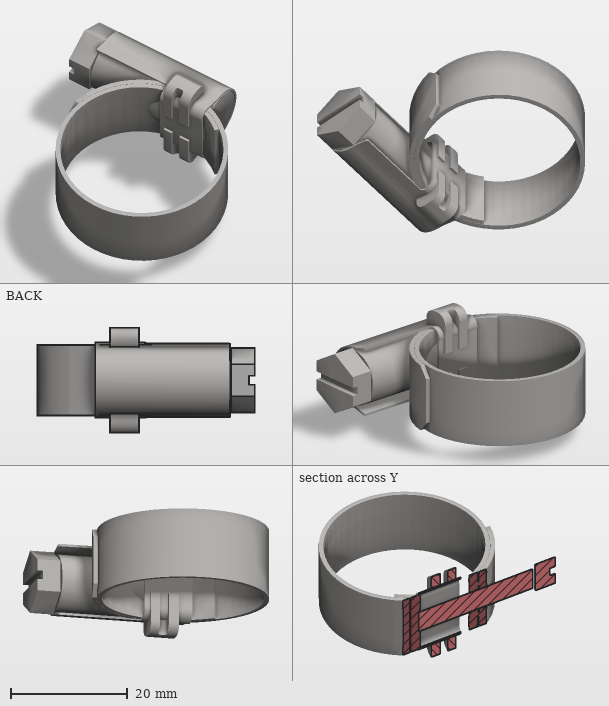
import cadquery as cq
import math


band_radius = 13.95
band_thickness = 0.82
band_height = 12.1
lap_gap = 0.05
outer_end_angle = 176.5
inner_end_angle = 51.0
spiral_steps = 12
tip_chamfer_length = 1.85
tip_chamfer_height = 1.98
band_outer = band_radius + band_thickness
lap_step = band_thickness + lap_gap

screw_y = 16.95
screw_radius = 5.0
neck_radius = 3.4
neck_length = 0.35
head_sides = 6
head_flats = 9.6
head_length = 4.05
slot_width = 1.5
slot_depth = 1.0
head_x = -22.55

housing_start = -18.3
housing_end = 4.8
housing_radius = 5.55
sheet = 0.4
flare_start_y = 17.6
flare_end = (15.97, 5.8)
cheek_end = (13.47, 6.45)
plate_y = 11.5
bend_radius = cheek_end[0] - plate_y
plate_start = -3.7
cheek_edge_y = 14.05
edge_slope_length = 0.35
cheek_corner_radius = 0.37

clip_start = -2.7
clip_end = 2.3
clip_top = 16.1
clip_bottom = 11.1
clip_height = 18.0
ear_radius = 1.95
bridge_thickness = 0.7
leg_gap = 3.88
leg_slot_start = -1.05
leg_slot_end = 0.5
leg_slot_top = 12.7
leg_slot_corner = 0.45


def box(x_range, y_range, z_range):
    """Box between the given limits along each axis."""
    size = [high - low for low, high in (x_range, y_range, z_range)]
    return cq.Workplane("XY").box(*size, centered=False).translate((x_range[0], y_range[0], z_range[0]))


def polar(radius, angle):
    return (radius * math.cos(math.radians(angle)), radius * math.sin(math.radians(angle)))


def spiral(start_radius, start_angle, end_angle):
    """Clockwise edge that moves in by one lap step over the full overlap angle."""
    overlap = outer_end_angle - inner_end_angle

    def point(t):
        angle = start_angle + t * (end_angle - start_angle)
        return cq.Vector(*polar(start_radius - lap_step * (start_angle - angle) / overlap, angle))

    return cq.Edge.makeSpline([point(i / spiral_steps) for i in range(spiral_steps + 1)])


def strip_face_edges(radius):
    """Outer layer, single-layer arc and inner layer of one face of the strip."""
    middle_angle = (outer_end_angle + inner_end_angle) / 2 + 180
    arc = cq.Edge.makeThreePointArc(
        cq.Vector(*polar(radius, inner_end_angle)),
        cq.Vector(*polar(radius, middle_angle)),
        cq.Vector(*polar(radius, outer_end_angle)),
    )
    return [
        spiral(radius + lap_step, outer_end_angle, inner_end_angle),
        arc,
        spiral(radius, outer_end_angle, inner_end_angle),
    ]


def make_band_blank():
    """Strip before the screw opening, with the corners of its outer tip cut off."""
    inner = strip_face_edges(band_radius)
    outer = strip_face_edges(band_outer)
    caps = [
        cq.Edge.makeLine(inner[0].startPoint(), outer[0].startPoint()),
        cq.Edge.makeLine(inner[-1].endPoint(), outer[-1].endPoint()),
    ]
    outline = cq.Wire.assembleEdges([caps[0], *outer, caps[1], *reversed(inner)])
    strip = cq.Solid.extrudeLinear(outline, [], cq.Vector(0, 0, band_height))
    strip = cq.Workplane(obj=strip).translate((0, 0, -band_height / 2))

    tip_y = polar(band_outer, outer_end_angle)[1]
    offset = lap_step / math.radians(outer_end_angle - inner_end_angle)
    guard_radius = band_outer + lap_gap / 2 + offset * math.sin(math.radians(outer_end_angle))
    guard = cq.Workplane("XY").center(0, -offset).circle(guard_radius).extrude(band_height, both=True)

    half = band_height / 2
    for side in (1, -1):
        corner = (
            cq.Workplane("YZ")
            .polyline([
                (tip_y, side * (half - tip_chamfer_height)),
                (tip_y + tip_chamfer_length, side * half),
                (tip_y, side * half),
            ])
            .close()
            .extrude(-2 * band_radius)
        )
        strip = strip.cut(corner.cut(guard))
    return strip


def make_screw_blank():
    """Slotted hexagon head, neck and shank, before the clip recess."""
    head = (
        cq.Workplane("YZ", origin=(head_x, screw_y, 0))
        .polygon(head_sides, head_flats, circumscribed=True)
        .extrude(head_length)
    )
    slot = box(
        (head_x, head_x + slot_depth),
        (screw_y - head_flats, screw_y + head_flats),
        (-slot_width / 2, slot_width / 2),
    )
    neck_x = head_x + head_length
    shank_x = neck_x + neck_length
    neck = cq.Workplane("YZ", origin=(neck_x, screw_y, 0)).circle(neck_radius).extrude(neck_length)
    shank = (
        cq.Workplane("YZ", origin=(shank_x, screw_y, 0))
        .circle(screw_radius)
        .extrude(housing_end - shank_x)
    )
    return head.cut(slot).union(neck).union(shank)


def housing_section():
    """Closed outer outline of the housing around the screw and the band."""
    flare_start = (flare_start_y, math.sqrt(housing_radius**2 - (flare_start_y - screw_y) ** 2))
    bend_end = (plate_y, cheek_end[1] - bend_radius)

    def mirrored(point):
        return (point[0], -point[1])

    return (
        cq.Workplane("YZ", origin=(housing_start, 0, 0))
        .moveTo(*mirrored(flare_start))
        .threePointArc((screw_y + housing_radius, 0), flare_start)
        .tangentArcPoint(flare_end, relative=False)
        .lineTo(*cheek_end)
        .tangentArcPoint(bend_end, relative=False)
        .lineTo(*mirrored(bend_end))
        .tangentArcPoint(mirrored(cheek_end), relative=False)
        .lineTo(*mirrored(flare_end))
        .tangentArcPoint(mirrored(flare_start), relative=False)
        .close()
    )


def make_housing_blank(envelope):
    """Bent sheet, open below the cheeks ahead of the plate."""
    length = housing_end - housing_start
    cavity = housing_section().offset2D(-sheet).extrude(length)
    opening = (
        cq.Workplane("XY")
        .moveTo(housing_start, 0)
        .lineTo(housing_start, cheek_edge_y + cheek_corner_radius)
        .radiusArc((housing_start + cheek_corner_radius, cheek_edge_y), -cheek_corner_radius)
        .lineTo(plate_start - edge_slope_length, cheek_edge_y)
        .lineTo(plate_start, cheek_end[0])
        .lineTo(plate_start, 0)
        .close()
        .extrude(clip_height, both=True)
    )
    return envelope.cut(cavity).cut(opening)


def make_clip(envelope):
    """Bridge, ears around the outside of the housing, and legs under the plate."""
    x_range = (clip_start, clip_end)
    half = clip_height / 2
    ears = box(x_range, (clip_bottom, clip_top), (-half, half)).edges("|X").fillet(ear_radius)
    leg_opening = box(x_range, (clip_bottom, plate_y), (-leg_gap / 2, leg_gap / 2))
    leg_slot = (
        box((leg_slot_start, leg_slot_end), (clip_bottom, leg_slot_top), (-half, half))
        .edges("|Z and >Y")
        .fillet(leg_slot_corner)
    )
    bridge_half = half - ear_radius
    bridge = box(x_range, (clip_top - bridge_thickness, clip_top), (-bridge_half, bridge_half))
    return ears.cut(envelope).cut(leg_opening).cut(leg_slot).union(bridge)


housing_envelope = housing_section().extrude(housing_end - housing_start)
band_blank = make_band_blank()
screw_blank = make_screw_blank()

clip = make_clip(housing_envelope).cut(band_blank)
screw = screw_blank.cut(clip)
band = band_blank.cut(screw_blank)
housing = make_housing_blank(housing_envelope).cut(band_blank).cut(clip)

result = cq.Compound.makeCompound([screw.val(), housing.val(), band.val(), clip.val()])